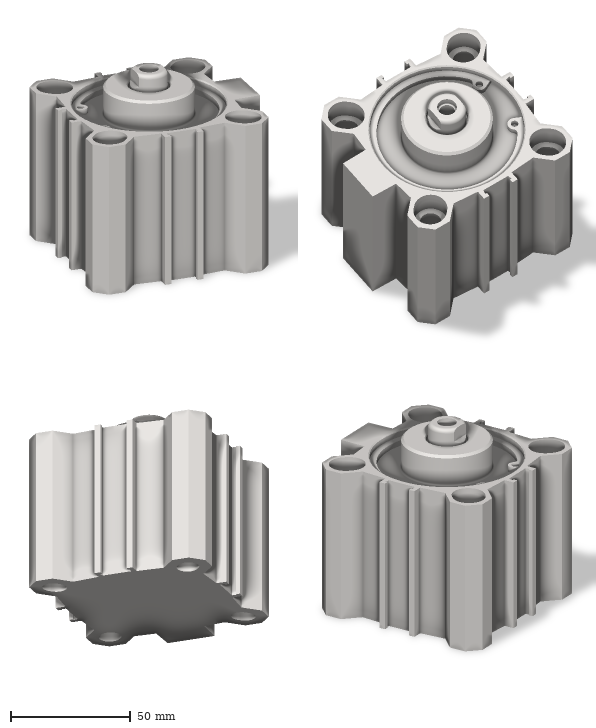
import cadquery as cq
import math


HOUSING_HEIGHT = 66.8
HALF_WIDTH = 40.0
LUG_CHAMFER = 5.3
LUG_SHOULDER = 27.2
LUG_NECK_DEPTH = 6.6
WALL_DISTANCE = 34.3

RAIL_HALF_WIDTH = 8.7
RAIL_REACH = 38.8
SLOT_FLOOR = 35.0
SLOT_FLOOR_HALF_WIDTH = 6.4
SLOT_TOP_HALF_WIDTH = 6.8
HOOK_DEPTH = 1.7
MOUTH_HALF_WIDTH = 5.9

PORT_REACH = 46.0
PORT_BASE_HALF_WIDTH = 10.9
PORT_TIP_HALF_WIDTH = 10.7

MOUNT_OFFSET = 30.3
MOUNT_ELONGATION = 1.5
MOUNT_HOLE_DIAMETER = 9.0
COUNTERBORE_DIAMETER = 14.0
COUNTERBORE_DEPTH = 9.7

BORE_DIAMETER = 65.1
BORE_CHAMFER = 0.5
RING_DEPTH = 3.0
RING_THICKNESS = 2.5
RING_OUTER_DIAMETER = 68.2
RING_INNER_DIAMETER = 59.2
RING_TOP = HOUSING_HEIGHT - RING_DEPTH
EAR_X = 12.6
EAR_Y = -25.8
EAR_RADIUS = 3.0
EAR_HOLE_DIAMETER = 3.2
EAR_FILLET = 2.0

COVER_TOP = RING_TOP - RING_THICKNESS
COVER_THICKNESS = 12.0
COVER_BOTTOM = COVER_TOP - COVER_THICKNESS
HUB_DIAMETER = 38.5
HUB_TOP = 74.9
HUB_CHAMFER = 1.0
HUB_BASE_FILLET = 0.8
ROD_PASSAGE_DIAMETER = 16.5
WIPER_DIAMETER = 17.7
WIPER_DEPTH = 3.0
WIPER_CHAMFER = 0.5

ROD_DIAMETER = 16.0
ROD_TOP = 82.0
ROD_FILLET = 1.8
FLAT_WIDTH = 13.0
FLAT_BOTTOM = 76.3
ROD_HOLE_DIAMETER = 6.6
ROD_HOLE_DEPTH = 16.0
ROD_COUNTERBORE_DIAMETER = 8.25
ROD_COUNTERBORE_DEPTH = 3.0
DRILL_POINT_ANGLE = 160


def cylinder(diameter, bottom, top):
    return cq.Workplane("XY").workplane(offset=bottom).circle(diameter / 2).extrude(top - bottom)


def revolved(points):
    """Solid of revolution about Z from (radius, height) points."""
    return cq.Workplane("XZ").polyline(points).close().revolve(360, (0, 0, 0), (0, 1, 0))


def polar(radius, angle):
    return (radius * math.cos(angle), radius * math.sin(angle))


def ring_plane():
    return cq.Workplane("XY").workplane(offset=COVER_TOP)


def prism(points):
    return cq.Workplane("XY").polyline(points).close().extrude(HOUSING_HEIGHT)


def make_body_block():
    """Square block with a chamfered lug at each corner and slightly tapered side walls."""
    neck = HALF_WIDTH - LUG_NECK_DEPTH
    neck_end = LUG_SHOULDER - LUG_NECK_DEPTH
    corner_flat = HALF_WIDTH - LUG_CHAMFER
    half_corner = [
        (WALL_DISTANCE, RAIL_HALF_WIDTH),
        (neck, neck_end),
        (HALF_WIDTH, LUG_SHOULDER),
        (HALF_WIDTH, corner_flat),
    ]
    corner = half_corner + [(y, x) for x, y in reversed(half_corner)]
    outline = []
    for _ in range(4):
        outline += corner
        corner = [(-y, x) for x, y in corner]
    return prism(outline)


def make_rail_pair():
    """Two hooked rails on the +X side, with the floor of the slot between them."""
    hook_start = RAIL_REACH - HOOK_DEPTH
    upper_half = [
        (0, RAIL_HALF_WIDTH),
        (RAIL_REACH, RAIL_HALF_WIDTH),
        (RAIL_REACH, MOUTH_HALF_WIDTH),
        (hook_start, MOUTH_HALF_WIDTH),
        (hook_start, SLOT_TOP_HALF_WIDTH),
        (SLOT_FLOOR, SLOT_FLOOR_HALF_WIDTH),
    ]
    return prism(upper_half + [(x, -y) for x, y in reversed(upper_half)])


def make_port_block():
    return prism([
        (-PORT_BASE_HALF_WIDTH, 0),
        (PORT_BASE_HALF_WIDTH, 0),
        (PORT_BASE_HALF_WIDTH, WALL_DISTANCE),
        (PORT_TIP_HALF_WIDTH, PORT_REACH),
        (-PORT_TIP_HALF_WIDTH, PORT_REACH),
        (-PORT_BASE_HALF_WIDTH, WALL_DISTANCE),
    ])


def make_mounting_hole(angle):
    """Counterbored through hole on the diagonal at the given angle."""
    def elongated(diameter, bottom):
        return (
            cq.Workplane("XY")
            .workplane(offset=bottom)
            .center(MOUNT_OFFSET * math.sqrt(2), 0)
            .slot2D(diameter + MOUNT_ELONGATION, diameter)
            .extrude(HOUSING_HEIGHT - bottom)
        )

    hole = elongated(MOUNT_HOLE_DIAMETER, 0)
    counterbore = elongated(COUNTERBORE_DIAMETER, HOUSING_HEIGHT - COUNTERBORE_DEPTH)
    return hole.union(counterbore).rotate((0, 0, 0), (0, 0, 1), angle)


def make_housing():
    body = make_body_block().union(make_port_block())
    for angle in (0, 180, 270):
        body = body.union(make_rail_pair().rotate((0, 0, 0), (0, 0, 1), angle))
    for angle in (45, 135, 225, 315):
        body = body.cut(make_mounting_hole(angle))
    bore_radius = BORE_DIAMETER / 2
    groove_radius = RING_OUTER_DIAMETER / 2
    bore = revolved([
        (0, COVER_BOTTOM),
        (bore_radius, COVER_BOTTOM),
        (bore_radius, COVER_TOP),
        (groove_radius, COVER_TOP),
        (groove_radius, RING_TOP),
        (bore_radius, RING_TOP),
        (bore_radius, HOUSING_HEIGHT - BORE_CHAMFER),
        (bore_radius + BORE_CHAMFER, HOUSING_HEIGHT),
        (0, HOUSING_HEIGHT),
    ])
    return body.cut(bore)


def make_cover():
    """Disc and hub with a clearance hole for the rod and a wider wiper recess at the top."""
    hub_radius = HUB_DIAMETER / 2
    wiper_radius = WIPER_DIAMETER / 2
    wiper_floor = HUB_TOP - WIPER_DEPTH
    section = (
        cq.Workplane("XZ")
        .moveTo(ROD_PASSAGE_DIAMETER / 2, COVER_BOTTOM)
        .lineTo(BORE_DIAMETER / 2, COVER_BOTTOM)
        .lineTo(BORE_DIAMETER / 2, COVER_TOP)
        .lineTo(hub_radius + HUB_BASE_FILLET, COVER_TOP)
        .radiusArc((hub_radius, COVER_TOP + HUB_BASE_FILLET), HUB_BASE_FILLET)
        .lineTo(hub_radius, HUB_TOP - HUB_CHAMFER)
        .lineTo(hub_radius - HUB_CHAMFER, HUB_TOP)
        .lineTo(wiper_radius + WIPER_CHAMFER, HUB_TOP)
        .lineTo(wiper_radius, HUB_TOP - WIPER_CHAMFER)
        .lineTo(wiper_radius, wiper_floor)
        .lineTo(ROD_PASSAGE_DIAMETER / 2, wiper_floor)
        .close()
    )
    return section.revolve(360, (0, 0, 0), (0, 1, 0))


def make_wrench_flat():
    """Cutter for the flat on the -Y side of the rod, with a 45-degree run-out at its lower end."""
    flat_y = -FLAT_WIDTH / 2
    outside_y = -ROD_DIAMETER
    runout_bottom = FLAT_BOTTOM - (flat_y - outside_y)
    section = [
        (flat_y, FLAT_BOTTOM),
        (outside_y, runout_bottom),
        (outside_y, ROD_TOP),
        (flat_y, ROD_TOP),
    ]
    return cq.Workplane("YZ").polyline(section).close().extrude(ROD_DIAMETER / 2, both=True)


def make_rod():
    rod = cylinder(ROD_DIAMETER, COVER_BOTTOM, ROD_TOP).faces(">Z").edges().fillet(ROD_FILLET)
    for angle in (0, 180):
        rod = rod.cut(make_wrench_flat().rotate((0, 0, 0), (0, 0, 1), angle))
    hole_radius = ROD_HOLE_DIAMETER / 2
    counterbore_radius = ROD_COUNTERBORE_DIAMETER / 2
    hole_bottom = ROD_TOP - ROD_HOLE_DEPTH
    counterbore_floor = ROD_TOP - ROD_COUNTERBORE_DEPTH
    point_depth = hole_radius / math.tan(math.radians(DRILL_POINT_ANGLE / 2))
    hole = revolved([
        (0, hole_bottom - point_depth),
        (hole_radius, hole_bottom),
        (hole_radius, counterbore_floor),
        (counterbore_radius, counterbore_floor),
        (counterbore_radius, ROD_TOP),
        (0, ROD_TOP),
    ])
    return rod.cut(hole)


def make_ear():
    """Ear at the +X end of the ring, blended into the ring by a concave fillet."""
    inner_radius = RING_INNER_DIAMETER / 2
    middle_radius = (RING_INNER_DIAMETER + RING_OUTER_DIAMETER) / 4
    ear_distance = math.hypot(EAR_X, EAR_Y)
    ear_angle = math.atan2(EAR_Y, EAR_X)

    fillet_distance = inner_radius - EAR_FILLET
    center_gap = EAR_RADIUS + EAR_FILLET
    cos_turn = (ear_distance**2 + fillet_distance**2 - center_gap**2) / (2 * ear_distance * fillet_distance)
    fillet_angle = ear_angle + math.acos(cos_turn)

    fillet_center = polar(fillet_distance, fillet_angle)
    web_outline = [
        (EAR_X, EAR_Y),
        fillet_center,
        polar(middle_radius, fillet_angle),
        polar(middle_radius, ear_angle),
    ]
    web = ring_plane().polyline(web_outline).close().extrude(RING_THICKNESS)
    fillet = ring_plane().center(*fillet_center).circle(EAR_FILLET).extrude(RING_THICKNESS)
    disc = ring_plane().center(EAR_X, EAR_Y).circle(EAR_RADIUS).extrude(RING_THICKNESS)
    side_x, side_y = polar(EAR_RADIUS, ear_angle - math.pi / 2)
    root_x, root_y = polar(middle_radius, ear_angle)
    stem_outline = [
        (EAR_X, EAR_Y),
        (root_x, root_y),
        (root_x + side_x, root_y + side_y),
        (EAR_X + side_x, EAR_Y + side_y),
    ]
    stem = ring_plane().polyline(stem_outline).close().extrude(RING_THICKNESS)
    return web.cut(fillet).union(disc).union(stem)


def make_snap_ring():
    """Open ring whose gap faces -Y, with a drilled ear at each end."""
    ear_distance = math.hypot(EAR_X, EAR_Y)
    side_x = EAR_X + EAR_RADIUS * EAR_Y / ear_distance
    side_y = EAR_Y - EAR_RADIUS * EAR_X / ear_distance
    reach = RING_OUTER_DIAMETER / 2 / ear_distance
    outer_x = side_x + EAR_X * reach
    outer_y = side_y + EAR_Y * reach
    gap_outline = [(-side_x, side_y), (side_x, side_y), (outer_x, outer_y), (-outer_x, outer_y)]
    gap = ring_plane().polyline(gap_outline).close().extrude(RING_THICKNESS)

    annulus = ring_plane().circle(RING_OUTER_DIAMETER / 2).circle(RING_INNER_DIAMETER / 2)
    ring = annulus.extrude(RING_THICKNESS).cut(gap)
    ear = make_ear()
    ring = ring.union(ear).union(ear.mirror("YZ"))
    holes = ring_plane().pushPoints([(-EAR_X, EAR_Y), (EAR_X, EAR_Y)]).circle(EAR_HOLE_DIAMETER / 2)
    return ring.cut(holes.extrude(RING_THICKNESS))


housing = make_housing()
cover = make_cover()
rod = make_rod()
snap_ring = make_snap_ring()

result = cq.Compound.makeCompound([housing.val(), cover.val(), rod.val(), snap_ring.val()])